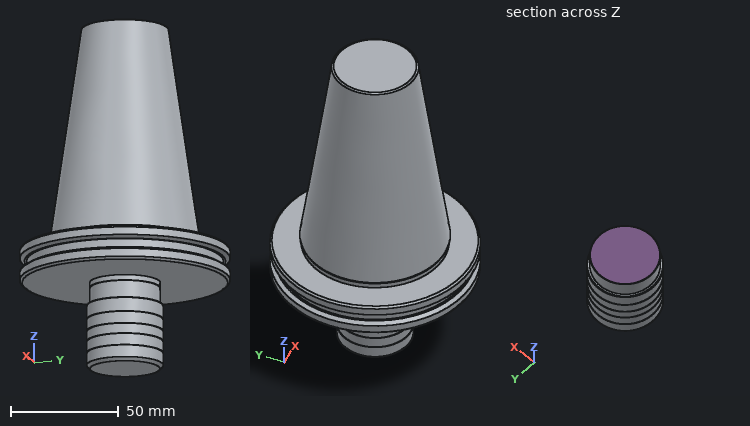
import cadquery as cq

total_height = 161.8
flange_bottom = 41.0
flange_top = 57.0
taper_base = 60.3

gauge_radius = 35.0
taper_ratio = 7 / 24
taper_tip_radius = gauge_radius - (total_height - taper_base) * taper_ratio / 2
tip_chamfer_height = 0.5
tip_chamfer_width = 1.0

neck_radius = 34.5
neck_chamfer_height = 1.0

flange_radius = 48.77
flange_bottom_chamfer = 1.1
flange_top_chamfer = 1.0
groove_radius = 45.6
groove_lip_radius = 46.6
groove_bottom = 47.0
groove_top = 51.1
groove_flare_height = 1.3

shank_radius = 16.3
shank_step = 38.3
sleeve_radius = 17.8
sleeve_top = 30.1
sleeve_top_chamfer = 0.3
sleeve_bottom_chamfer = 1.6

mark_heights = (7.3, 12.8, 17.6, 23.3)
mark_width = 0.2
mark_depth = 0.08


def revolve(points):
    """Turn a closed (radius, height) outline around the Z axis."""
    return cq.Workplane("XZ").polyline(points).close().revolve(360, (0, 0), (0, 1))


def ring(outer_radius, depth, middle_height, width):
    """Ring used to cut a shallow groove around the shank."""
    return (
        cq.Workplane("XY", origin=(0, 0, middle_height - width / 2))
        .circle(outer_radius)
        .circle(outer_radius - depth)
        .extrude(width)
    )


taper = revolve([
    (0, flange_top),
    (neck_radius, flange_top),
    (neck_radius, taper_base - neck_chamfer_height),
    (gauge_radius, taper_base),
    (taper_tip_radius + tip_chamfer_height * taper_ratio / 2, total_height - tip_chamfer_height),
    (taper_tip_radius - tip_chamfer_width, total_height),
    (0, total_height),
])

flange = revolve([
    (0, flange_bottom),
    (flange_radius - flange_bottom_chamfer, flange_bottom),
    (flange_radius, flange_bottom + flange_bottom_chamfer),
    (flange_radius, groove_bottom - groove_flare_height),
    (groove_lip_radius, groove_bottom),
    (groove_radius, groove_bottom),
    (groove_radius, groove_top),
    (groove_lip_radius, groove_top),
    (flange_radius, groove_top + groove_flare_height),
    (flange_radius, flange_top - flange_top_chamfer),
    (flange_radius - flange_top_chamfer, flange_top),
    (0, flange_top),
])

shank = revolve([
    (0, 0),
    (sleeve_radius - sleeve_bottom_chamfer, 0),
    (sleeve_radius, sleeve_bottom_chamfer),
    (sleeve_radius, sleeve_top - sleeve_top_chamfer),
    (sleeve_radius - sleeve_top_chamfer, sleeve_top),
    (shank_radius, sleeve_top),
    (shank_radius, flange_bottom),
    (0, flange_bottom),
])

for mark_height in mark_heights:
    shank = shank.cut(ring(sleeve_radius, mark_depth, mark_height, mark_width))
shank = shank.cut(ring(shank_radius, mark_depth, shank_step, mark_width))

result = taper.union(flange).union(shank)